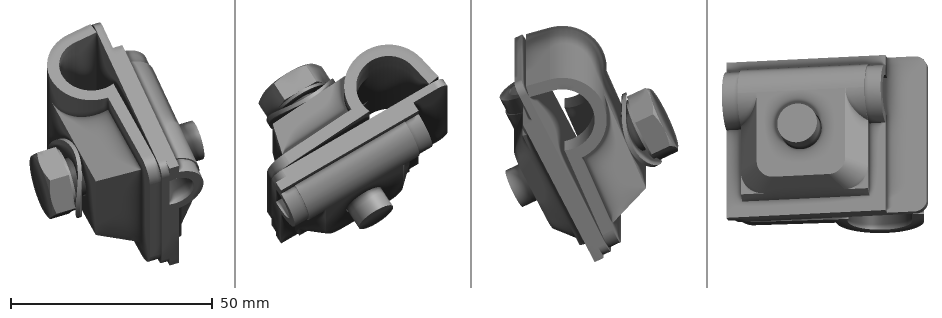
import cadquery as cq
import math

HEIGHT = 40.0
HALF_HEIGHT = HEIGHT / 2
LENGTH = 50.0
BOLT_X = 30.0
SHAFT_DIAMETER = 10.0
BOLT_HOLE_DIAMETER = 10.5

MIDDLE_THICKNESS = 2.0
MIDDLE_CORNER_RADIUS = 3.0

BACK_LEFT = 10.0
BACK_THICKNESS = 2.5
BACK_LENGTH = LENGTH - BACK_LEFT
BACK_FACE_Y = MIDDLE_THICKNESS + BACK_THICKNESS
CHANNEL_Y = 3.5
CHANNEL_Z = 10.0
CHANNEL_RADIUS = 5.0
CHANNEL_OUTER_RADIUS = CHANNEL_RADIUS + BACK_THICKNESS
BACK_BOSS_INSET = 4.0
BACK_BOSS_RADIUS = 7.9
BACK_BOSS_TOP_Y = CHANNEL_Y + BACK_BOSS_RADIUS
BACK_BOSS_WALL_Y = 6.65
BACK_BOSS_BASE_Z = -16.0
BACK_BOSS_TOP_Z = -12.0
BACK_BOSS_END_RUN = 4.85
BACK_BOSS_BASE_RADIUS = 5.85
BACK_BOSS_TOP_RADIUS = 4.2

CLAMP_TIP_X = 49.45
CLAMP_TILT = 3.5
CLAMP_THICKNESS = 3.0
CLAMP_CORNER_RADIUS = 5.0
HOOK_RADIUS = 8.0
HOOK_OUTER_RADIUS = HOOK_RADIUS + CLAMP_THICKNESS
HOOK_X = -36.65
HOOK_Y = -2.6
LEG_ANGLE = 6.5
LEG_LENGTH = 6.2
TIP_OVERRUN = 1.0
CLAMP_BOSS_RIGHT = -5.35
CLAMP_BOSS_HALF_HEIGHT = 15.0
CLAMP_BOSS_DRAFT = 20.4

WASHER_THICKNESS = 1.0
WASHER_BEND_RADIUS = 17.6
WASHER_CREST_Y = -14.9
WASHER_HALF_WIDTH = 9.8
WASHER_HALF_HEIGHT = 10.6

BOLT_END_Y = 16.85
HEAD_SEAT_Y = -18.85
HEAD_THICKNESS = 5.7
HEAD_ACROSS_FLATS = 16.0
HEAD_CHAMFER_ANGLE = 30.0
COLLAR_DIAMETER = 16.0
COLLAR_THICKNESS = 0.75


def cylinder_along_y(x, diameter, start_y, end_y):
    return (
        cq.Workplane("XZ", origin=(x, end_y, 0))
        .circle(diameter / 2)
        .extrude(end_y - start_y)
    )


def cylinder_along_x(radius, start_x, end_x):
    """Round bar on the axis of the back plate channel."""
    return (
        cq.Workplane("YZ", origin=(start_x, CHANNEL_Y, CHANNEL_Z))
        .circle(radius)
        .extrude(end_x - start_x)
    )


bolt_hole = cylinder_along_y(BOLT_X, BOLT_HOLE_DIAMETER, -LENGTH, LENGTH)


def make_middle_plate():
    return (
        cq.Workplane("XY")
        .box(LENGTH, MIDDLE_THICKNESS, HEIGHT, centered=(False, False, True))
        .edges("|Y")
        .fillet(MIDDLE_CORNER_RADIUS)
        .cut(bolt_hole)
    )


def back_boss_outline(y, left, right, bottom, radius):
    """Outline parallel to XZ, square at the channel axis and rounded at its lower corners."""
    bevel = radius * (1 - math.sqrt(0.5))
    return (
        cq.Workplane("XZ", origin=(0, y, 0))
        .moveTo(left, CHANNEL_Z)
        .lineTo(left, bottom + radius)
        .threePointArc((left + bevel, bottom + bevel), (left + radius, bottom))
        .lineTo(right - radius, bottom)
        .threePointArc((right - bevel, bottom + bevel), (right, bottom + radius))
        .lineTo(right, CHANNEL_Z)
        .close()
        .val()
    )


def make_back_boss():
    """Ridge over the channel running down into a boss with sloping lower and end faces."""
    left = BACK_LEFT + BACK_BOSS_INSET
    right = LENGTH - BACK_BOSS_INSET
    slope = (BACK_BOSS_TOP_Z - BACK_BOSS_BASE_Z) / (BACK_BOSS_TOP_Y - BACK_FACE_Y)
    wall_z = BACK_BOSS_BASE_Z + slope * (BACK_BOSS_WALL_Y - BACK_FACE_Y)
    square_base = (
        cq.Workplane("YZ", origin=(left, 0, 0))
        .moveTo(MIDDLE_THICKNESS, BACK_BOSS_BASE_Z)
        .lineTo(BACK_FACE_Y, BACK_BOSS_BASE_Z)
        .lineTo(BACK_BOSS_WALL_Y, wall_z)
        .lineTo(BACK_BOSS_WALL_Y, CHANNEL_Z)
        .lineTo(MIDDLE_THICKNESS, CHANNEL_Z)
        .close()
        .extrude(right - left)
    )
    crown_base = back_boss_outline(BACK_BOSS_WALL_Y, left, right, wall_z, BACK_BOSS_BASE_RADIUS)
    crown_top = back_boss_outline(
        BACK_BOSS_TOP_Y,
        left + BACK_BOSS_END_RUN,
        right - BACK_BOSS_END_RUN,
        BACK_BOSS_TOP_Z,
        BACK_BOSS_TOP_RADIUS,
    )
    crown = cq.Workplane(cq.Solid.makeLoft([crown_base, crown_top], True))
    ridge = cylinder_along_x(BACK_BOSS_RADIUS, left, right)
    return square_base.union(crown).union(ridge)


def make_back_plate():
    plate = cq.Workplane("XY", origin=(BACK_LEFT, MIDDLE_THICKNESS, 0)).box(
        BACK_LENGTH, BACK_THICKNESS, HEIGHT, centered=(False, False, True)
    )
    behind_middle_plate = cq.Workplane("XY", origin=(0, MIDDLE_THICKNESS, 0)).box(
        LENGTH, LENGTH, HEIGHT, centered=(False, False, True)
    )
    return (
        plate.union(cylinder_along_x(CHANNEL_OUTER_RADIUS, BACK_LEFT, LENGTH))
        .union(make_back_boss())
        .intersect(behind_middle_plate)
        .cut(cylinder_along_x(CHANNEL_RADIUS, BACK_LEFT, LENGTH))
        .cut(bolt_hole)
    )


def hook_point(radius, angle):
    """Point on a circle about the hook axis, with the angle in degrees from +X."""
    turn = math.radians(angle)
    return HOOK_X + radius * math.cos(turn), HOOK_Y + radius * math.sin(turn)


def leg_end(radius):
    """End of the straight leg that leaves the hook tangentially."""
    x, y = hook_point(radius, 180 + LEG_ANGLE)
    turn = math.radians(LEG_ANGLE)
    return x - LEG_LENGTH * math.sin(turn), y + LEG_LENGTH * math.cos(turn)


def make_clamp_strip():
    """Bent strip: flat flange, round hook and straight leg."""
    inner_x = HOOK_X + math.sqrt(HOOK_RADIUS**2 - HOOK_Y**2)
    outer_x = HOOK_X + math.sqrt(HOOK_OUTER_RADIUS**2 - (CLAMP_THICKNESS + HOOK_Y) ** 2)
    return (
        cq.Workplane("XY", origin=(0, 0, -HALF_HEIGHT))
        .moveTo(TIP_OVERRUN, 0)
        .lineTo(inner_x, 0)
        .threePointArc(hook_point(HOOK_RADIUS, -90), hook_point(HOOK_RADIUS, 180 + LEG_ANGLE))
        .lineTo(*leg_end(HOOK_RADIUS))
        .lineTo(*leg_end(HOOK_OUTER_RADIUS))
        .lineTo(*hook_point(HOOK_OUTER_RADIUS, 180 + LEG_ANGLE))
        .threePointArc(hook_point(HOOK_OUTER_RADIUS, -90), (outer_x, -CLAMP_THICKNESS))
        .lineTo(TIP_OVERRUN, -CLAMP_THICKNESS)
        .close()
        .extrude(HEIGHT)
    )


def drafted_block(start_y, end_y, right_x, half_height):
    """Block from the hook axis to right_x at start_y, drafted on three sides towards end_y."""
    depth = start_y - end_y
    inset = depth * math.tan(math.radians(CLAMP_BOSS_DRAFT))
    length = right_x - HOOK_X
    return (
        cq.Workplane("XZ", origin=(HOOK_X, start_y, 0))
        .center(length / 2, 0)
        .rect(length, 2 * half_height)
        .workplane(offset=depth)
        .center(-inset / 2, 0)
        .rect(length - inset, 2 * (half_height - inset))
        .loft(ruled=True)
    )


def make_clamp_boss():
    """Drafted boss whose front face is tangent to the outside of the hook."""
    boss = drafted_block(
        -CLAMP_THICKNESS, HOOK_Y - HOOK_OUTER_RADIUS, CLAMP_BOSS_RIGHT, CLAMP_BOSS_HALF_HEIGHT
    )
    hook_space = (
        cq.Workplane("XY", origin=(HOOK_X, HOOK_Y, -HALF_HEIGHT)).circle(HOOK_RADIUS).extrude(HEIGHT)
    )
    return boss.cut(hook_space)


def make_clamp_pocket():
    """Hollow behind the boss that leaves an even wall and opens into the hook."""
    draft = math.radians(CLAMP_BOSS_DRAFT)
    wall_inset = CLAMP_THICKNESS / math.cos(draft) - CLAMP_THICKNESS * math.tan(draft)
    return drafted_block(
        0, HOOK_Y - HOOK_RADIUS, CLAMP_BOSS_RIGHT - wall_inset, CLAMP_BOSS_HALF_HEIGHT - wall_inset
    )


def make_clamp():
    tilted = (
        make_clamp_strip()
        .union(make_clamp_boss())
        .cut(make_clamp_pocket())
        .rotate((0, 0, 0), (0, 0, 1), CLAMP_TILT)
        .translate((CLAMP_TIP_X, 0, 0))
    )
    outline = (
        cq.Workplane("XY")
        .box(CLAMP_TIP_X, LENGTH, HEIGHT, centered=(False, False, True))
        .translate((0, -LENGTH, 0))
        .edges("|Y and >X")
        .fillet(CLAMP_CORNER_RADIUS)
    )
    return tilted.intersect(outline).cut(bolt_hole)


def make_spring_washer():
    bend_y = WASHER_CREST_Y - WASHER_BEND_RADIUS
    bent_sheet = (
        cq.Workplane("XY", origin=(BOLT_X, bend_y, -HALF_HEIGHT))
        .circle(WASHER_BEND_RADIUS)
        .circle(WASHER_BEND_RADIUS - WASHER_THICKNESS)
        .extrude(HEIGHT)
    )
    outline = (
        cq.Workplane("XZ", origin=(BOLT_X, 0, 0))
        .ellipse(WASHER_HALF_WIDTH, WASHER_HALF_HEIGHT)
        .extrude(-bend_y)
    )
    return bent_sheet.intersect(outline).cut(bolt_hole)


def make_bolt():
    corner_radius = HEAD_ACROSS_FLATS / math.sqrt(3)
    flat_radius = HEAD_ACROSS_FLATS / 2
    chamfer_width = corner_radius - flat_radius
    chamfer_depth = chamfer_width * math.tan(math.radians(HEAD_CHAMFER_ANGLE))
    head = (
        cq.Workplane("XZ", origin=(BOLT_X, HEAD_SEAT_Y, 0))
        .polygon(6, 2 * corner_radius)
        .extrude(HEAD_THICKNESS)
    )
    corner_cone = (
        cylinder_along_y(BOLT_X, 2 * corner_radius, HEAD_SEAT_Y - HEAD_THICKNESS, HEAD_SEAT_Y)
        .faces("<Y")
        .chamfer(chamfer_depth, chamfer_width)
    )
    collar = cylinder_along_y(BOLT_X, COLLAR_DIAMETER, HEAD_SEAT_Y, HEAD_SEAT_Y + COLLAR_THICKNESS)
    shaft = cylinder_along_y(BOLT_X, SHAFT_DIAMETER, HEAD_SEAT_Y, BOLT_END_Y)
    return head.intersect(corner_cone).union(collar).union(shaft)


middle_plate = make_middle_plate()
back_plate = make_back_plate()
clamp = make_clamp()
spring_washer = make_spring_washer()
bolt = make_bolt()

result = cq.Compound.makeCompound(
    [
        middle_plate.solids().val(),
        back_plate.solids().val(),
        clamp.solids().val(),
        spring_washer.solids().val(),
        bolt.solids().val(),
    ]
)